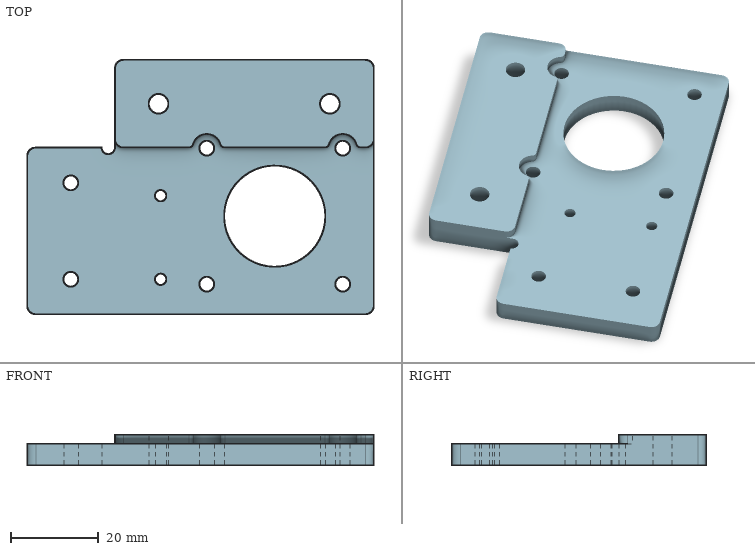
import cadquery as cq

length = 79.0
width = 58.0
base_thickness = 5.0
pad_thickness = 2.05
total_thickness = base_thickness + pad_thickness
corner_radius = 2.0

step_x = 20.0
step_y = 38.0
corner_notch_radius = 1.5

motor_x = 56.4
motor_y = 22.35
motor_bore = 23.0
motor_screw_pitch = 31.0
motor_screw_diameter = 3.3
screw_relief_radius = 3.2
relief_edge_radius = 1.0

pad_hole_xs = (29.95, 69.0)
pad_hole_y = 47.95
pad_hole_diameter = 4.4
side_hole_x = 9.95
side_hole_ys = (8.0, 29.95)
side_hole_diameter = 3.3
small_hole_x = 30.4
small_hole_ys = (8.0, 27.0)
small_hole_diameter = 2.5


def cylinder(x, y, diameter, bottom=0):
    """Vertical cylinder from the given height up to the pad's top face."""
    height = total_thickness - bottom
    return cq.Workplane("XY", origin=(x, y, bottom)).circle(diameter / 2).extrude(height)


def make_base():
    """L-shaped plate with rounded outer corners and a relieved inner corner."""
    outline = [
        (0, 0),
        (length, 0),
        (length, width),
        (step_x, width),
        (step_x, step_y),
        (0, step_y),
    ]
    base = cq.Workplane("XY").polyline(outline).close().extrude(base_thickness)
    inner_corner = cq.selectors.NearestToPointSelector((step_x, step_y, base_thickness / 2))
    outer_corners = cq.selectors.StringSyntaxSelector("|Z") - inner_corner
    base = base.edges(outer_corners).fillet(corner_radius)
    return base.cut(cylinder(step_x - corner_notch_radius, step_y, 2 * corner_notch_radius))


def make_pad():
    """Raised strip with rounded corners and scallops around the rear motor screws."""
    pad_length = length - step_x
    pad = cq.Workplane("XY", origin=(step_x, step_y, base_thickness))
    pad = pad.rect(pad_length, width - step_y, centered=False).extrude(pad_thickness)
    pad = pad.edges("|Z").fillet(corner_radius)
    rear_screw_y = motor_y + motor_screw_pitch / 2
    for side in (-1, 1):
        x = motor_x + side * motor_screw_pitch / 2
        pad = pad.cut(cylinder(x, rear_screw_y, 2 * screw_relief_radius, base_thickness))
        for edge_side in (-1, 1):
            scallop_end = (x + edge_side * screw_relief_radius, step_y, total_thickness - pad_thickness / 2)
            pad = pad.edges(cq.selectors.NearestToPointSelector(scallop_end)).fillet(relief_edge_radius)
    return pad


result = make_base().union(make_pad())

result = result.cut(cylinder(motor_x, motor_y, motor_bore))
for x_side in (-1, 1):
    for y_side in (-1, 1):
        screw_x = motor_x + x_side * motor_screw_pitch / 2
        screw_y = motor_y + y_side * motor_screw_pitch / 2
        result = result.cut(cylinder(screw_x, screw_y, motor_screw_diameter))

for hole_x in pad_hole_xs:
    result = result.cut(cylinder(hole_x, pad_hole_y, pad_hole_diameter))
for hole_y in side_hole_ys:
    result = result.cut(cylinder(side_hole_x, hole_y, side_hole_diameter))
for hole_y in small_hole_ys:
    result = result.cut(cylinder(small_hole_x, hole_y, small_hole_diameter))